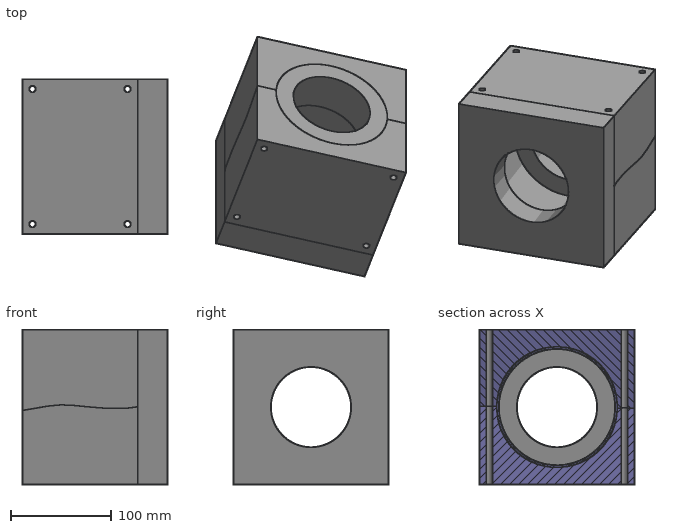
import cadquery as cq

SIDE = 155.0
TOTAL_LENGTH = 145.0
PLATE_THICKNESS = 30.0
BORE_DIAMETER = 80.0
BUSH_DIAMETER = 116.0
BUSH_LENGTH = 40.0
TUBE_WALL = 2.0
BOLT_HOLE_DIAMETER = 6.2
BOLT_EDGE_DISTANCE = 10.0

PARTING_START = (0.0, -3.4)
PARTING_RISE = (20.0, 0.2)
PARTING_CREST = (38.0, 2.2)
PARTING_FALL = (65.0, 0.3)
PARTING_DIP = (94.0, -1.5)
PARTING_END_Z = 0.3

HALF_SIDE = SIDE / 2
CLAMP_LENGTH = TOTAL_LENGTH - PLATE_THICKNESS
PARTING_END = (CLAMP_LENGTH, PARTING_END_Z)
TUBE_LENGTH = CLAMP_LENGTH - BUSH_LENGTH
TUBE_DIAMETER = BUSH_DIAMETER + 2 * TUBE_WALL


def cylinder_along_x(diameter, start, length):
    return cq.Workplane("YZ", origin=(start, 0, 0)).circle(diameter / 2).extrude(length)


def wavy_block():
    """Material below the parting line, from the middle plane to the -Y face."""
    return (
        cq.Workplane("XZ")
        .moveTo(0, -HALF_SIDE)
        .lineTo(*PARTING_START)
        .spline(
            [PARTING_RISE, PARTING_CREST, PARTING_FALL, PARTING_DIP, PARTING_END],
            includeCurrent=True,
        )
        .lineTo(CLAMP_LENGTH, -HALF_SIDE)
        .close()
        .extrude(HALF_SIDE)
    )


def half_turn(body):
    """Turn a body by half a turn about the bore axis."""
    return body.rotate((0, 0, 0), (1, 0, 0), 180)


def bolt_holes():
    return (
        cq.Workplane("XY", origin=(CLAMP_LENGTH / 2, 0, -HALF_SIDE))
        .rect(CLAMP_LENGTH - 2 * BOLT_EDGE_DISTANCE, SIDE - 2 * BOLT_EDGE_DISTANCE, forConstruction=True)
        .vertices()
        .circle(BOLT_HOLE_DIAMETER / 2)
        .extrude(SIDE)
    )


def clamp_half():
    """Lower clamp half; its +Y parting face is the -Y one of the upper half, turned over."""
    lower_box = (
        cq.Workplane("XY", origin=(0, 0, -HALF_SIDE))
        .rect(CLAMP_LENGTH, HALF_SIDE, centered=False)
        .extrude(SIDE)
    )
    far_side = lower_box.cut(half_turn(wavy_block()))
    bush_seat = cylinder_along_x(BUSH_DIAMETER, 0, BUSH_LENGTH)
    tube_seat = cylinder_along_x(TUBE_DIAMETER, BUSH_LENGTH, TUBE_LENGTH)
    return wavy_block().union(far_side).cut(bush_seat).cut(tube_seat).cut(bolt_holes())


def bush():
    """Thick ring held between the clamp halves at the open end."""
    ring = cylinder_along_x(BUSH_DIAMETER, 0, BUSH_LENGTH)
    return ring.cut(cylinder_along_x(BORE_DIAMETER, 0, BUSH_LENGTH))


def tube():
    """Thin tube that lines the wider chamber between the bush and the end plate."""
    lining = cylinder_along_x(TUBE_DIAMETER, BUSH_LENGTH, TUBE_LENGTH)
    return lining.cut(cylinder_along_x(BUSH_DIAMETER, BUSH_LENGTH, TUBE_LENGTH))


def end_plate():
    """Square plate that closes the +X end around the bore."""
    plate = cq.Workplane("YZ", origin=(CLAMP_LENGTH, 0, 0)).rect(SIDE, SIDE).extrude(PLATE_THICKNESS)
    return plate.cut(cylinder_along_x(BORE_DIAMETER, CLAMP_LENGTH, PLATE_THICKNESS))


lower_half = clamp_half()
clamp_halves = [lower_half, half_turn(lower_half)]

result = cq.Compound.makeCompound(
    [*(half.val() for half in clamp_halves), bush().val(), tube().val(), end_plate().val()]
)